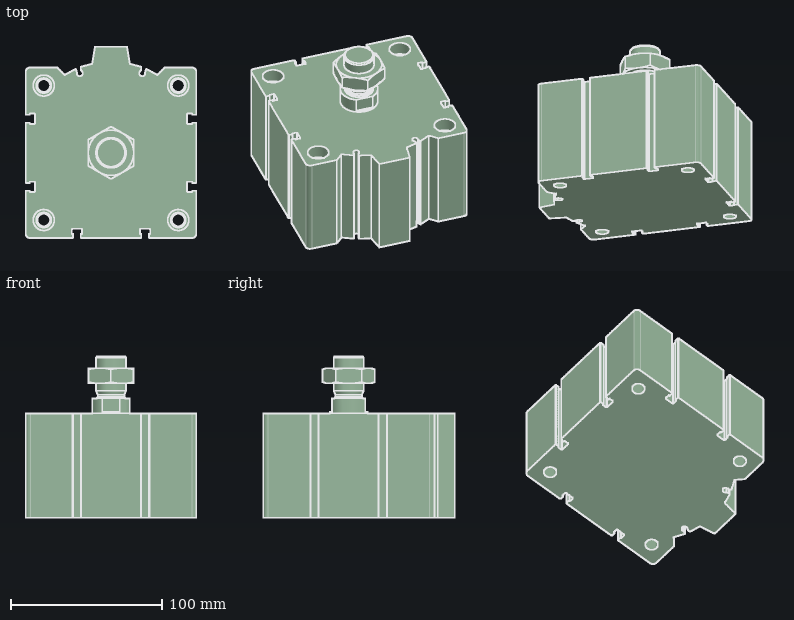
import cadquery as cq
import math

BLOCK_SIDE = 113.0
BLOCK_HEIGHT = 69.0
HALF_SIDE = BLOCK_SIDE / 2
CORNER_RADIUS = 3.0

OVERALL_DEPTH = 126.7
LUG_TOP_Y = OVERALL_DEPTH - HALF_SIDE
LUG_TOP_HALF_WIDTH = 10.6
LUG_BASE_HALF_WIDTH = 12.5
LUG_BASE_Y = 58.9
LIP_X = 20.1
LIP_HEIGHT = 1.5
SHOULDER_SLOPE = 15
LIP_TOP_Y = LUG_BASE_Y - (LIP_X - LUG_BASE_HALF_WIDTH) * math.tan(math.radians(SHOULDER_SLOPE))
VALLEY_X = 30.7
VALLEY_Y = 51.6
VALLEY_EDGE_X = 35.6

GROOVE_X = 20.7
GROOVE_Y = 52.6
GROOVE_RADIUS = 1.9
GROOVE_LIP_ANGLE = 60
GROOVE_WALL_ANGLE = 165
GROOVE_MOUTH_X = 22.9
GROOVE_MOUTH_Y = 54.9
GROOVE_TIP_X = 23.5
GROOVE_TIP_Y = 55.5

SLOT_OFFSET = 22.5
SLOT_MOUTH_WIDTH = 5.1
SLOT_INNER_WIDTH = 6.7
SLOT_DEPTH = 6.2
SLOT_LIP = 2.9
SLOT_EDGE_CHAMFER = 0.4

HOLE_OFFSET = 44.5
HOLE_DIAMETER = 8.4
COUNTERBORE_DIAMETER = 14
COUNTERBORE_DEPTH = 9.2
COUNTERSINK_DIAMETER = 10.0

ROD_LENGTH = 38
ROD_DIAMETER = 25.0
ROD_SHOULDER_Z = 10.0
FLATS_WIDTH = 22.0
FLATS_START_Z = 1.0
NECK_DIAMETER = 17.9
NECK_FLARE = 0.5
NECK_START_Z = 11.0
NECK_END_Z = 12.4
THREAD_DIAMETER = 20.0
THREAD_START_Z = 15.1
TIP_DIAMETER = 18.4
TIP_CHAMFER_HEIGHT = 1.0

NUT_ACROSS_FLATS = 30.0
NUT_HEIGHT = 10.1
NUT_TOP_DROP = 8.0
NUT_CHAMFER_DROP = 0.9


def revolve_about_z(profile):
    """Solid of revolution from (radius, z) points."""
    return cq.Workplane("XZ").polyline(profile).close().revolve(360, (0, 0), (0, 1))


def groove_point(angle):
    """Point on the keyhole bulb of the +X groove; the angle in degrees runs clockwise from -X."""
    a = math.radians(angle)
    return GROOVE_X - GROOVE_RADIUS * math.cos(a), GROOVE_Y + GROOVE_RADIUS * math.sin(a)


def make_block():
    """Housing without slots and holes: its +X half joined with its mirror image."""
    half = (
        cq.Workplane("XY")
        .moveTo(0, -HALF_SIDE)
        .lineTo(HALF_SIDE, -HALF_SIDE)
        .lineTo(HALF_SIDE, HALF_SIDE)
        .lineTo(VALLEY_EDGE_X, HALF_SIDE)
        .lineTo(VALLEY_X, VALLEY_Y)
        .lineTo(GROOVE_TIP_X, GROOVE_TIP_Y)
        .lineTo(GROOVE_MOUTH_X, GROOVE_MOUTH_Y)
        .lineTo(*groove_point(GROOVE_WALL_ANGLE))
        .threePointArc(
            groove_point((GROOVE_LIP_ANGLE + GROOVE_WALL_ANGLE) / 2 - 180),
            groove_point(GROOVE_LIP_ANGLE),
        )
        .lineTo(LIP_X, LIP_TOP_Y - LIP_HEIGHT)
        .lineTo(LIP_X, LIP_TOP_Y)
        .lineTo(LUG_BASE_HALF_WIDTH, LUG_BASE_Y)
        .lineTo(LUG_TOP_HALF_WIDTH, LUG_TOP_Y)
        .lineTo(0, LUG_TOP_Y)
        .close()
        .extrude(BLOCK_HEIGHT)
        .edges("|Z and >X")
        .fillet(CORNER_RADIUS)
    )
    return half.union(half.mirror("YZ"))


def t_slot(side_angle, offset):
    """T-shaped cutter for the -Y side, turned about Z onto another side.

    The mouth edges and the inner corners of the T carry the same small chamfer.
    """
    mouth_half = SLOT_MOUTH_WIDTH / 2
    inner_half = SLOT_INNER_WIDTH / 2
    right_edge = [
        (mouth_half + SLOT_EDGE_CHAMFER, 0),
        (mouth_half, SLOT_EDGE_CHAMFER),
        (mouth_half, SLOT_LIP),
        (inner_half, SLOT_LIP),
        (inner_half, SLOT_DEPTH - SLOT_EDGE_CHAMFER),
        (inner_half - SLOT_EDGE_CHAMFER, SLOT_DEPTH),
    ]
    left_edge = [(-x, y) for x, y in reversed(right_edge)]
    slot = cq.Workplane("XY").polyline(right_edge + left_edge).close().extrude(BLOCK_HEIGHT)
    return slot.translate((offset, -HALF_SIDE, 0)).rotate((0, 0, 0), (0, 0, 1), side_angle)


def mounting_hole():
    """Through-hole cutter with a counterbore and a countersunk rim at its floor."""
    floor_z = BLOCK_HEIGHT - COUNTERBORE_DEPTH
    countersink_height = (COUNTERSINK_DIAMETER - HOLE_DIAMETER) / 2
    profile = [
        (0, 0),
        (HOLE_DIAMETER / 2, 0),
        (HOLE_DIAMETER / 2, floor_z - countersink_height),
        (COUNTERSINK_DIAMETER / 2, floor_z),
        (COUNTERBORE_DIAMETER / 2, floor_z),
        (COUNTERBORE_DIAMETER / 2, BLOCK_HEIGHT),
        (0, BLOCK_HEIGHT),
    ]
    return revolve_about_z(profile)


def make_housing():
    housing = make_block()
    for side_angle in (0, 90, -90):
        for offset in (-SLOT_OFFSET, SLOT_OFFSET):
            housing = housing.cut(t_slot(side_angle, offset))
    for x in (-HOLE_OFFSET, HOLE_OFFSET):
        for y in (-HOLE_OFFSET, HOLE_OFFSET):
            housing = housing.cut(mounting_hole().translate((x, y, 0)))
    return housing


def make_rod():
    """Rod standing on the housing: shoulder with two flats, undercut neck and threaded end."""
    profile = [
        (0, 0),
        (ROD_DIAMETER / 2, 0),
        (ROD_DIAMETER / 2, ROD_SHOULDER_Z),
        (NECK_DIAMETER / 2 + NECK_FLARE, ROD_SHOULDER_Z),
        (NECK_DIAMETER / 2, NECK_START_Z),
        (NECK_DIAMETER / 2, NECK_END_Z),
        (THREAD_DIAMETER / 2, THREAD_START_Z),
        (THREAD_DIAMETER / 2, ROD_LENGTH - TIP_CHAMFER_HEIGHT),
        (TIP_DIAMETER / 2, ROD_LENGTH),
        (0, ROD_LENGTH),
    ]
    rod = revolve_about_z(profile)
    flat_cutter = cq.Workplane("XY").box(
        ROD_DIAMETER, ROD_DIAMETER, ROD_SHOULDER_Z - FLATS_START_Z, centered=(True, False, False)
    )
    for turn in (0, 180):
        cutter = flat_cutter.translate((0, FLATS_WIDTH / 2, FLATS_START_Z))
        rod = rod.cut(cutter.rotate((0, 0, 0), (0, 0, 1), turn))
    return rod.translate((0, 0, BLOCK_HEIGHT))


def make_nut():
    """Hexagon nut with corners on the Y axis, both ends chamfered by a cone."""
    flat_radius = NUT_ACROSS_FLATS / 2
    corner_radius = flat_radius / math.cos(math.radians(30))
    hexagon = (
        cq.Workplane("XY")
        .polygon(6, 2 * corner_radius)
        .extrude(NUT_HEIGHT)
        .rotate((0, 0, 0), (0, 0, 1), 90)
    )
    envelope = revolve_about_z([
        (THREAD_DIAMETER / 2, 0),
        (flat_radius, 0),
        (corner_radius, NUT_CHAMFER_DROP),
        (corner_radius, NUT_HEIGHT - NUT_CHAMFER_DROP),
        (flat_radius, NUT_HEIGHT),
        (THREAD_DIAMETER / 2, NUT_HEIGHT),
    ])
    nut_base_z = BLOCK_HEIGHT + ROD_LENGTH - NUT_TOP_DROP - NUT_HEIGHT
    return hexagon.intersect(envelope).translate((0, 0, nut_base_z))


housing = make_housing()
rod = make_rod()
nut = make_nut()
result = cq.Compound.makeCompound([housing.val(), rod.val(), nut.val()])